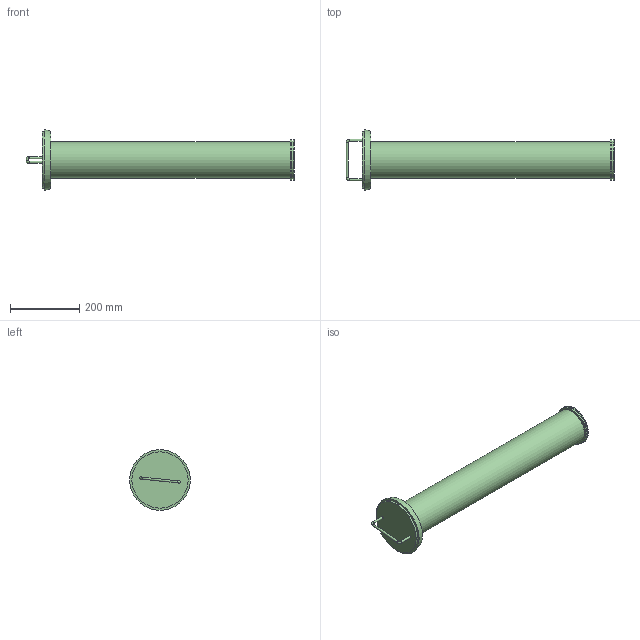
import cadquery as cq
import math

overall_length = 776.0
x_start = -overall_length / 2
x_end = overall_length / 2

rod_diameter = 6.0
handle_reach = 47.0
handle_span = 114.0
handle_tilt = 6.0
handle_bend_radius = 7.0

face_diameter = 163.0
face_thickness = 6.0
rim_front_diameter = 175.55
rim_back_diameter = 167.0
rim_thickness = 18.5

tube_diameter = 104.5

ring_diameter = 116.0
groove_diameter = 110.5
ring_length = 11.0
groove_width = 5.0
end_lip_width = 1.5

face_x = x_start + handle_reach
rim_x = face_x + face_thickness
tube_x = rim_x + rim_thickness
ring_x = x_end - ring_length
groove_end_x = x_end - end_lip_width
groove_x = groove_end_x - groove_width


def make_body():
    """Revolve the cover, tube and grooved end ring about the X axis."""
    profile = (
        cq.Workplane("XY")
        .moveTo(face_x, 0)
        .lineTo(face_x, face_diameter / 2)
        .lineTo(rim_x, face_diameter / 2)
        .lineTo(rim_x, rim_front_diameter / 2)
        .lineTo(tube_x, rim_back_diameter / 2)
        .lineTo(tube_x, tube_diameter / 2)
        .lineTo(ring_x, tube_diameter / 2)
        .lineTo(ring_x, ring_diameter / 2)
        .lineTo(groove_x, ring_diameter / 2)
        .lineTo(groove_x, groove_diameter / 2)
        .lineTo(groove_end_x, groove_diameter / 2)
        .lineTo(groove_end_x, ring_diameter / 2)
        .lineTo(x_end, ring_diameter / 2)
        .lineTo(x_end, 0)
        .close()
    )
    return profile.revolve(360, (0, 0, 0), (1, 0, 0))


def make_handle():
    """Sweep the rod along a U-shaped path, then tilt it about the X axis."""
    half_span = handle_span / 2
    grip_x = x_start + rod_diameter / 2
    bend_x = grip_x + handle_bend_radius
    bend_y = half_span - handle_bend_radius
    bend_middle = handle_bend_radius * (1 - math.sqrt(0.5))
    path = (
        cq.Workplane("XY")
        .moveTo(rim_x, half_span)
        .lineTo(bend_x, half_span)
        .threePointArc((grip_x + bend_middle, half_span - bend_middle), (grip_x, bend_y))
        .lineTo(grip_x, -bend_y)
        .threePointArc((grip_x + bend_middle, bend_middle - half_span), (bend_x, -half_span))
        .lineTo(rim_x, -half_span)
    )
    rod = cq.Workplane("YZ", origin=(rim_x, half_span, 0)).circle(rod_diameter / 2).sweep(path)
    return rod.rotate((0, 0, 0), (1, 0, 0), handle_tilt)


result = make_body().union(make_handle())